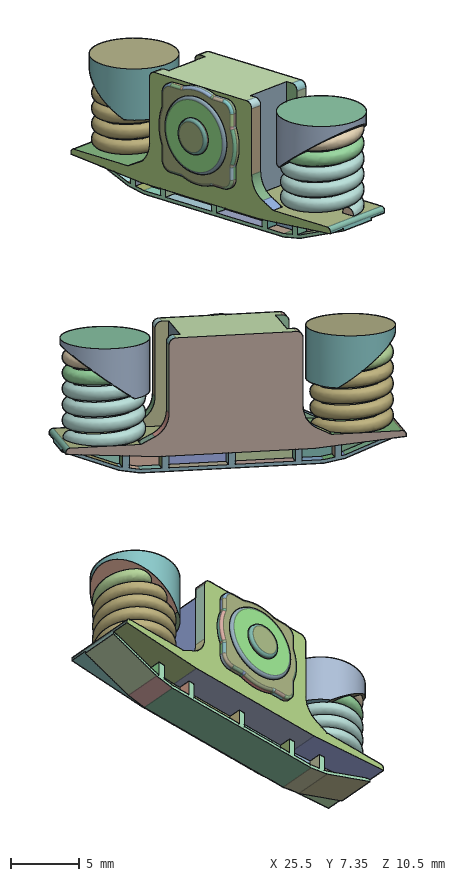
import cadquery as cq
import math

length = 25.5
depth = 6.0
half_length = length / 2
half_depth = depth / 2
total_height = 10.48

plate_top = 2.55
plate_end_bottom = 2.1
plate_middle_bottom = 1.55
plate_flat_half = 5.85
plate_end_round = 0.3
plate_underside = [(half_length, plate_end_bottom), (plate_flat_half, plate_middle_bottom)]

keel_width = 3.05
keel_end_z = 1.91
keel_bend_x = 8.47
keel_bend_z = 0.28
keel_flat_half = 6.9
sole_thickness = 0.28
web_width = 1.07
rib_width = 0.5
rib_positions = (-7.95, -5.0, 0, 5.0, 7.95)

block_half = 4.0
flange_half = 5.03
flange_thickness = 1.0
flange_top_round = 0.5
gusset_end_x = 7.15
gusset_height = 1.55
gusset_round = 1.95
flange_root = 0.5

button_z = 6.8
flange_plate_z = 6.68
flange_plate_side = 7.0
flange_plate_corner = 0.92
flange_plate_diameter = 7.6
flange_plate_depth = 0.45
flange_plate_junction_round = 0.5
flange_plate_edge_round = 0.2
disc_diameter = 6.0
disc_depth = 0.71
button_diameter = 2.8
button_depth = 1.05
step_edge_round = 0.23

spring_x = 9.29
cap_x = 9.2
coil_inner_diameter = 4.0
wire_diameter = 1.07
coil_radius = (coil_inner_diameter + wire_diameter) / 2
coil_pitch = 1.2
coil_turns = 5.25
coil_start_z = 2.58
cap_diameter = 6.6
cap_top = 10.0
cap_bottom = 6.0
cap_lip_z = 9.57
cap_flat_end_x = 7.6


def extrude_across(points, width, y_center=0):
    """Extrude a closed XZ outline by the given width, centred on y_center."""
    outline = cq.Workplane("XZ", origin=(0, y_center, 0)).polyline(points).close()
    return outline.extrude(width / 2, both=True)


def mirror_points(right_half):
    """Complete an outline given from its +X side by adding its mirror image in -X."""
    return right_half + [(-x, z) for x, z in reversed(right_half)]


def make_plate():
    points = mirror_points([(half_length, plate_top)] + plate_underside)
    plate = extrude_across(points, depth)
    return plate.edges("|Y and >Z").fillet(plate_end_round)


def make_keel():
    """Sole carried by a web along Y = 0 and by ribs across the full width of the keel."""
    sole_line = [
        (half_length, keel_end_z),
        (keel_bend_x, keel_bend_z),
        (keel_flat_half, 0),
    ]
    full_keel = extrude_across(mirror_points(plate_underside[::-1] + sole_line), keel_width)
    raised_line = [(x, z + sole_thickness) for x, z in sole_line]
    above_sole_points = mirror_points([(half_length, plate_top)] + raised_line)
    above_sole = extrude_across(above_sole_points, keel_width)
    openings = above_sole.cut(cq.Workplane("XY").rect(length, web_width).extrude(plate_top))
    for x in rib_positions:
        rib = cq.Workplane("XY").center(x, 0).rect(rib_width, keel_width).extrude(plate_top)
        openings = openings.cut(rib)
    return full_keel.cut(openings)


def make_flange(y_center):
    """Upright plate whose two ends are the flanges, each with a sloping gusset at its foot."""
    gusset_slope = gusset_height / (gusset_end_x - block_half)
    corner_z = plate_top + gusset_slope * (gusset_end_x - flange_half)
    points = mirror_points(
        [
            (flange_half, total_height),
            (flange_half, corner_z),
            (gusset_end_x, plate_top),
            (gusset_end_x, plate_top - flange_root),
        ]
    )
    flange = extrude_across(points, flange_thickness, y_center)
    flange = flange.edges("|Y and >Z").fillet(flange_top_round)
    for side in (-1, 1):
        corner = cq.selectors.NearestToPointSelector((side * flange_half, y_center, corner_z))
        flange = flange.edges("|Y").edges(corner).fillet(gusset_round)
    return flange


def make_block():
    block = cq.Workplane("XY", origin=(0, 0, plate_top)).rect(2 * block_half, depth)
    block = block.extrude(total_height - plate_top)
    flange_y = half_depth - flange_thickness / 2
    for side in (-1, 1):
        block = block.union(make_flange(side * flange_y))
    return block


def front_face(z):
    """Workplane on the front of the block, facing -Y, at height z."""
    return cq.Workplane("XZ", origin=(0, -half_depth, z))


def make_flange_plate():
    """Rounded square plate with a slightly larger circle bulging out of its sides."""
    square = front_face(flange_plate_z).rect(flange_plate_side, flange_plate_side)
    square = square.extrude(flange_plate_depth).edges("|Y").fillet(flange_plate_corner)
    bulge = front_face(flange_plate_z).circle(flange_plate_diameter / 2).extrude(flange_plate_depth)
    plate = square.union(bulge)

    near = flange_plate_side / 2
    far = math.sqrt((flange_plate_diameter / 2) ** 2 - near**2)
    mid_y = -half_depth - flange_plate_depth / 2
    for x, z in ((near, far), (far, near)):
        for x_sign in (-1, 1):
            for z_sign in (-1, 1):
                corner = (x_sign * x, mid_y, flange_plate_z + z_sign * z)
                nearest = cq.selectors.NearestToPointSelector(corner)
                plate = plate.edges("|Y").edges(nearest).fillet(flange_plate_junction_round)
    return plate.faces("<Y").edges().fillet(flange_plate_edge_round)


def make_round_step(diameter, step_depth):
    """Round boss on the block front with a rounded outer edge."""
    step = front_face(button_z).circle(diameter / 2).extrude(step_depth)
    return step.faces("<Y").edges().fillet(step_edge_round)


def make_connector():
    disc = make_round_step(disc_diameter, disc_depth)
    button = make_round_step(button_diameter, button_depth)
    return make_flange_plate().union(disc).union(button)


def make_cap(side):
    """Solid round cap whose outer underside is cut along a slanted plane."""
    cap = cq.Workplane("XY", origin=(side * cap_x, 0, cap_bottom))
    cap = cap.circle(cap_diameter / 2).extrude(cap_top - cap_bottom)
    cap_outer_x = cap_x + cap_diameter / 2
    wedge = [
        (side * cap_flat_end_x, cap_bottom),
        (side * cap_outer_x, cap_lip_z),
        (side * cap_outer_x, cap_bottom),
    ]
    return cap.cut(extrude_across(wedge, cap_diameter))


def make_spring():
    """Right-handed coil around the Z axis, starting on the +X side."""
    path = cq.Wire.makeHelix(coil_pitch, coil_pitch * coil_turns, coil_radius)
    wire = cq.Workplane("XZ", origin=(coil_radius, 0, 0)).circle(wire_diameter / 2)
    return wire.sweep(cq.Workplane(path), isFrenet=True)


def make_spring_unit(side):
    """Spring rising from the plate with its upper end buried in the cap."""
    spring = make_spring().translate((side * spring_x, 0, coil_start_z))
    return make_cap(side).union(spring)


result = make_plate().union(make_keel()).union(make_block()).union(make_connector())
for side in (-1, 1):
    result = result.union(make_spring_unit(side))